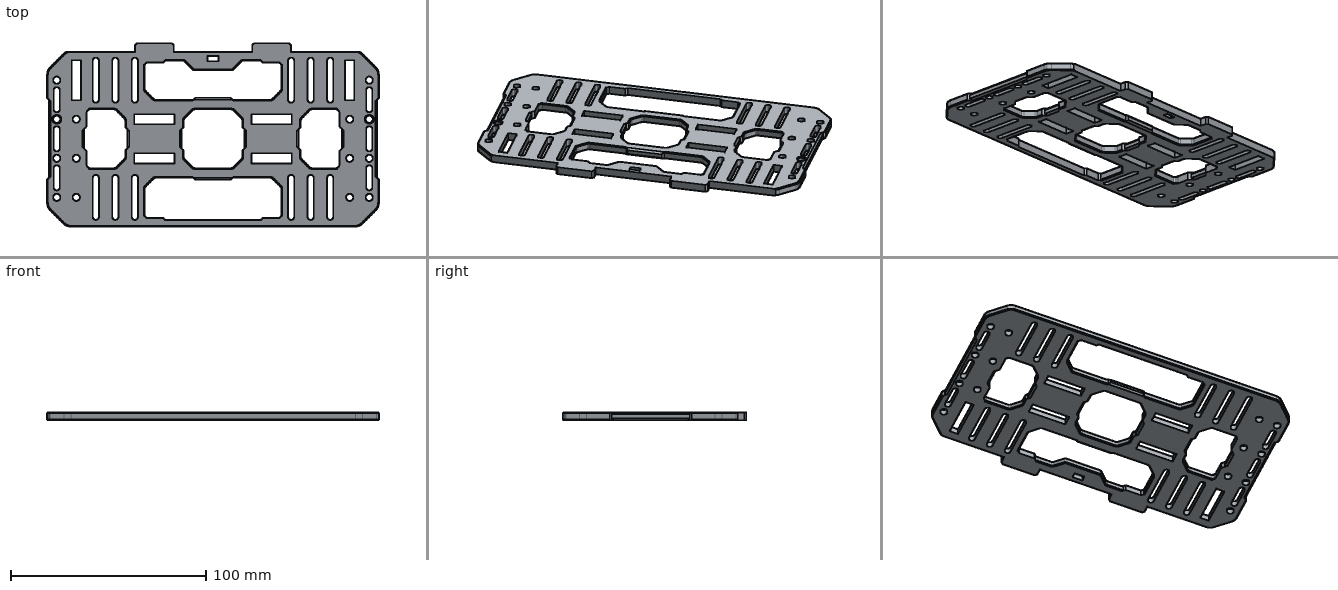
import cadquery as cq

length = 170.0
thickness = 4.0
pitch = length / 17
lip = 0.5
bevel = 1.0
recess_depth = 1.0
ridge_height = 1.0

half_length = length / 2
half_width = 4.5 * pitch
rear_wall = half_width - lip
corner_cut = pitch
corner_radius = 5.1
tab_top = 49.0
tab_corner = 1.0
tab_half_width = pitch

hole_diameter = 3.5
countersink_diameter = 4.6
slot_width = 3.0
long_slot = 23.0
short_slot = 12.8
window_length = 20.4
side_window_width = 4.6
inner_window_width = 5.1
latch_length = 5.5
latch_width = 2.5

opening_cut = pitch / 2
opening_radius = 1.7
cheek = 1.0
side_cheek = 0.3
cheek_corner = 1.0
cheek_length = 0.95 * pitch

mid_plane = thickness / 2


def prism(points):
    """Full-thickness prism over a closed outline."""
    return cq.Workplane("XY").polyline(points).close().extrude(thickness)


def box(x_min, x_max, y_min, y_max):
    """Full-thickness block between two corners."""
    return prism([(x_min, y_min), (x_max, y_min), (x_max, y_max), (x_min, y_max)])


def mirror_x(points):
    """Complete an outline from its right half, listed bottom to top."""
    return points + [(-x, y) for x, y in reversed(points)]


def flared_prism(points):
    """Prism with rounded corners that widens at 45 degrees over the lip height at both faces."""
    core = prism(points).edges("|Z").fillet(opening_radius)
    lip_section = core.section(mid_plane).wires().val()
    for height, direction in ((thickness - lip, 1), (lip, -1)):
        base_wire = lip_section.translate(cq.Vector(0, 0, height - mid_plane))
        flare = cq.Workplane("XY").workplane(offset=height).add(base_wire).toPending()
        core = core.union(flare.extrude(direction * lip, taper=-45))
    return core


def trapezoid(back, front, back_half, front_half):
    """Full-thickness prism, symmetric about X, between two X positions."""
    return prism([(back, -back_half), (front, -front_half), (front, front_half), (back, back_half)])


def double_bevel(nose, half_span):
    """Bar along Y whose +X edge is bevelled at both faces, with its tip at X = nose."""
    root = nose - bevel
    back = root - lip
    section = [
        (back, 0),
        (root, 0),
        (nose, bevel),
        (nose, thickness - bevel),
        (root, thickness),
        (back, thickness),
    ]
    return cq.Workplane("XZ").polyline(section).close().extrude(half_span, both=True)


def place_on_wall(shape, x, y, angle):
    """Move a shape built facing +X to the wall at (x, y) that faces the given angle."""
    return shape.rotate((0, 0, 0), (0, 0, 1), angle).translate((x, y, 0))


def add_strap_recess(body, x, y, angle, half_span):
    """Sink a bevelled strap seat, with ends sloping at 45 degrees, into a wall."""
    root = -recess_depth - bevel
    front = 2 * lip
    root_half = half_span - bevel
    front_half = half_span + recess_depth + front
    pocket = trapezoid(root, front, root_half, front_half)
    seat = pocket.intersect(double_bevel(-recess_depth, front_half))
    body = body.cut(place_on_wall(pocket, x, y, angle))
    return body.union(place_on_wall(seat, x, y, angle))


def add_strap_ridge(body, x, y, angle, half_span):
    """Raise a bevelled strap ridge, with ends sloping at 45 degrees, from a wall."""
    back_half = half_span + ridge_height + lip
    ridge = trapezoid(-lip, ridge_height, back_half, half_span)
    ridge = ridge.intersect(double_bevel(ridge_height, back_half))
    return body.union(place_on_wall(ridge, x, y, angle))


def make_plate():
    plate = cq.Workplane("XY").rect(length, 2 * half_width).extrude(thickness)
    plate = plate.edges("|Z").chamfer(corner_cut)
    plate = plate.edges("|Z").fillet(corner_radius)
    plate = plate.faces("<Z or >Z").edges().chamfer(lip)
    plate = plate.cut(box(-half_length, half_length, rear_wall, half_width))
    for side in (-1, 1):
        center = side * 3 * pitch
        tab = box(center - tab_half_width, center + tab_half_width, rear_wall - lip, tab_top)
        plate = plate.union(tab.edges("|Z and >Y").chamfer(tab_corner))
    return plate


def upper_opening():
    half, bottom, top = 3.5 * pitch, 2 * pitch, 4 * pitch
    outline = mirror_x([
        (half - opening_cut, bottom),
        (half, bottom + opening_cut),
        (half, top),
        (1.5 * pitch, top),
        (pitch, top - opening_cut),
    ])
    opening = flared_prism(outline)
    for side in (-1, 1):
        opening = opening.cut(corner_cheek(side, top, 1, half))
    return opening


def corner_cheek(side, wall, facing, half):
    """Block that squares off an opening corner and stands proud of its end wall."""
    inner, outer = half - cheek_length, half + lip
    step = wall - facing * cheek
    points = [
        (inner - cheek - lip, wall + facing * lip),
        (inner, step),
        (half - cheek_corner, step),
        (half, step - facing * cheek_corner),
        (outer, step - facing * cheek_corner),
        (outer, wall + facing * lip),
    ]
    return prism([(side * px, py) for px, py in points])


def lower_opening():
    half, top, bottom = 3.5 * pitch, -2 * pitch, -4.1 * pitch - lip
    outline = mirror_x([(half, bottom), (half, top - opening_cut), (half - opening_cut, top)])
    opening = flared_prism(outline)
    opening = opening.cut(box(-half - lip, half + lip, bottom - lip, bottom))
    for side in (-1, 1):
        opening = opening.cut(corner_cheek(side, bottom, -1, half))
    return opening


def center_opening():
    half = 1.5 * pitch
    corner = half - opening_cut
    return flared_prism(mirror_x([(corner, -half), (half, -corner), (half, corner), (corner, half)]))


def side_opening(side):
    inner, outer, half = 4.5 * pitch, 6.5 * pitch - side_cheek, 1.5 * pitch
    corner = half - opening_cut
    outline = [
        (inner, -corner),
        (inner + opening_cut, -half),
        (outer, -half),
        (outer, half),
        (inner + opening_cut, half),
        (inner, corner),
    ]
    opening = flared_prism([(side * x, y) for x, y in outline])
    end_wall = [
        (outer - cheek_corner, -half),
        (outer, -half + cheek_corner),
        (outer, half - cheek_corner),
        (outer - cheek_corner, half),
        (outer - cheek_corner, half + lip),
        (outer + lip, half + lip),
        (outer + lip, -half - lip),
        (outer - cheek_corner, -half - lip),
    ]
    return opening.cut(prism([(side * x, y) for x, y in end_wall]))


def cut_slots(body, points, slot_length):
    slots = cq.Workplane("XY").pushPoints(points).slot2D(slot_length, slot_width, 90)
    return body.cut(slots.extrude(thickness))


def cut_windows(body, points, x_size, y_size):
    windows = cq.Workplane("XY").pushPoints(points).rect(x_size, y_size)
    return body.cut(windows.extrude(thickness))


def grid(columns, rows):
    """Points at the given pitch multiples, on both sides of the middle."""
    return [(s * c * pitch, r * pitch) for s in (-1, 1) for c in columns for r in rows]


result = make_plate()

result = result.cut(upper_opening())
result = result.cut(lower_opening())
result = result.cut(center_opening())
for side in (-1, 1):
    result = result.cut(side_opening(side))

for side in (-1, 1):
    result = add_strap_ridge(result, 0, side * 2 * pitch, side * 90, pitch - bevel)
    facing_out = 90 - 90 * side
    facing_in = 90 + 90 * side
    result = add_strap_recess(result, side * half_length, 0, facing_out, 2 * pitch)
    result = add_strap_recess(result, side * 1.5 * pitch, 0, facing_in, pitch / 2)
    result = add_strap_recess(result, side * 4.5 * pitch, 0, facing_out, pitch / 2)
    result = add_strap_recess(result, side * 6.5 * pitch, 0, facing_in, pitch / 2)

result = cut_slots(result, grid((4, 5, 6), (-3, 3)), long_slot)
result = cut_slots(result, grid((8,), (-2, 0, 2)), short_slot)
result = cut_windows(result, grid((7,), (3,)), side_window_width, window_length)
result = cut_windows(result, grid((3,), (-1, 1)), window_length, inner_window_width)
result = cut_windows(result, [(0, 4.1 * pitch)], latch_length, latch_width)
hole_points = grid((8,), (-3, -1, 3)) + grid((7,), (-3, -1, 1))
holes = cq.Workplane("XY").pushPoints(hole_points).circle(hole_diameter / 2)
result = result.cut(holes.extrude(thickness))
top_face = result.faces(">Z").workplane(origin=(0, 0, thickness))
result = top_face.pushPoints(grid((8,), (1,))).cskHole(hole_diameter, countersink_diameter, 90)